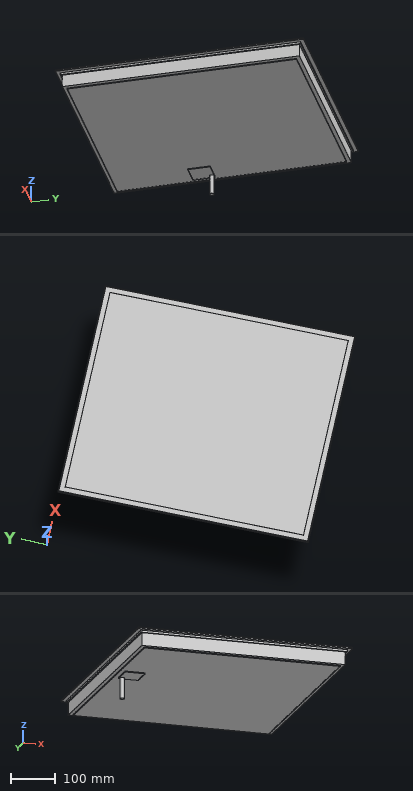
import cadquery as cq

bezel_length_x = 504.0
bezel_length_y = 574.0
bezel_thickness = 4.5
bezel_chamfer = 2.0

screen_margin = 14.0
screen_length_x = bezel_length_x - 2 * screen_margin
screen_length_y = bezel_length_y - 2 * screen_margin

housing_margin = 12.5
housing_length_x = bezel_length_x - 2 * housing_margin
housing_length_y = bezel_length_y - 2 * housing_margin
housing_bottom_z = -39.0
lip_overhang = 3.5
lip_thickness = 4.5

cover_inset = 9.0
cover_thickness = 2.5
cover_bottom_z = housing_bottom_z - cover_thickness

pad_length_x = 47.0
pad_length_y = 51.5
pad_thickness = 2.5
pad_center_x = -196.0
pad_center_y = -61.5
pad_bottom_z = cover_bottom_z - pad_thickness

pin_diameter = 10.5
pin_center_x = -212.0
pin_center_y = -41.5
overall_height = 92.0
pin_length = overall_height + pad_bottom_z


def plate(length_x, length_y, top_z, thickness):
    """Rectangular plate centred on the Z axis, reaching down from top_z."""
    return (
        cq.Workplane("XY")
        .workplane(offset=top_z - thickness)
        .rect(length_x, length_y)
        .extrude(thickness)
    )


def make_screen():
    return plate(screen_length_x, screen_length_y, 0, bezel_thickness)


def make_bezel():
    outer = plate(bezel_length_x, bezel_length_y, 0, bezel_thickness)
    outer = outer.faces(">Z").edges().chamfer(bezel_chamfer)
    return outer.cut(make_screen())


def make_housing():
    lip_length_x = housing_length_x + 2 * lip_overhang
    lip_length_y = housing_length_y + 2 * lip_overhang
    lip = plate(lip_length_x, lip_length_y, -bezel_thickness, lip_thickness)
    box_height = -bezel_thickness - housing_bottom_z
    box = plate(housing_length_x, housing_length_y, -bezel_thickness, box_height)
    return box.union(lip)


def make_back_cover():
    cover_length_x = housing_length_x - 2 * cover_inset
    cover_length_y = housing_length_y - 2 * cover_inset
    return plate(cover_length_x, cover_length_y, housing_bottom_z, cover_thickness)


def make_connector_plate():
    pad = plate(pad_length_x, pad_length_y, cover_bottom_z, pad_thickness)
    return pad.translate((pad_center_x, pad_center_y, 0))


def make_pin():
    return (
        cq.Workplane("XY")
        .workplane(offset=-overall_height)
        .center(pin_center_x, pin_center_y)
        .circle(pin_diameter / 2)
        .extrude(pin_length)
    )


bezel = make_bezel()
screen = make_screen()
housing = make_housing()
back_cover = make_back_cover()
connector_plate = make_connector_plate()
pin = make_pin()

result = cq.Compound.makeCompound([
    bezel.val(),
    screen.val(),
    housing.val(),
    back_cover.val(),
    connector_plate.val(),
    pin.val(),
])